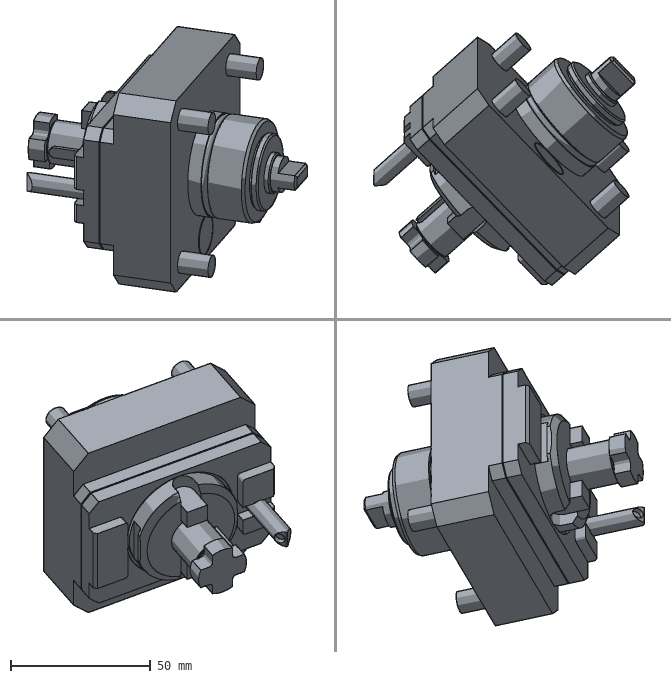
import cadquery as cq


body_width = 75.0
body_front = -21.8
body_chamfer = 6.1
plate_front = -33.1
plate_height = 47.7
plate_chamfer = 3.9
seam_x = -27.2
seam_width = 0.3
seam_depth = 0.2

pad_front = -37.1
pad_height = 25.9
pad_width = 13.7
pad_edge = 1.2
pad_slot_width = 6.0

recess_radius = 22.0
recess_depth = 1.2
flange_front = -41.0
flange_radius = 20.9
flange_nose_radius = 18.1
flange_cone_end = -39.1
outer_flat = 20.0
inner_flat = 19.0
inner_flat_front = -37.9

drive_width = 8.3
slot_floor = 15.8
tooth_front = -45.7
tooth_inner = 8.7
slot_round_center = -36.2

head_front = -64.0
head_back = -57.9
head_radius = 9.9
head_fillet = 1.5
neck_radius = 7.5
neck_end = -57.4
shaft_radius = 8.0
key_front = -56.3
key_length = 14.0
key_width = 3.9
key_top = 9.3

pin_tip = -57.2
pin_radius = 3.4
pin_y = -30.5
pin_z = -2.9
pin_tip_flat = 0.6
outlet_radius = 2.0
outlet_depth = 2.0
outlet_offset = 2.0

stud_radius = 4.0
stud_length = 11.6
stud_y = 26.0
stud_z = 28.0
boss_radius = 7.5
boss_height = 0.3
boss_z = -27.9

barrel_radius = 19.0
barrel_length = 21.6
barrel_chamfer_length = 1.2
barrel_end_radius = 18.4
groove_start = 5.0
groove_end = 7.6
groove_floor = 17.8
ring_x = 6.0
ring_tube = 1.1

collar_start = 22.4
collar_end = 24.9
collar_radius = 14.1
collar_chamfer = 0.6
hub_end = 27.1
hub_radius = 7.5
hub_chamfer = 0.5
tang_shoulder = 29.8
tang_end = 37.0
tang_radius = 6.6
tang_thickness = 5.8
tang_chamfer = 0.8


def box(x0, x1, y0, y1, z0, z1):
    """Box between two opposite corners."""
    return cq.Workplane("XY").box(x1 - x0, y1 - y0, z1 - z0, centered=False).translate((x0, y0, z0))


def rod(x0, x1, radius, y=0, z=0):
    """Cylinder parallel to X."""
    return cq.Workplane("YZ", origin=(x0, y, z)).circle(radius).extrude(x1 - x0)


def turned(profile):
    """Solid of revolution about X from (x, radius) points."""
    points = [(profile[0][0], 0)] + profile + [(profile[-1][0], 0)]
    return cq.Workplane("XY").polyline(points).close().revolve(360, (0, 0, 0), (1, 0, 0))


def mirrored_pair(solid, plane):
    """The solid together with its mirror image through the origin."""
    return solid.union(solid.mirror(plane))


def slab(x0, x1, height, chamfer):
    """Body-wide block with its four X edges chamfered."""
    block = box(x0, x1, -body_width / 2, body_width / 2, -height / 2, height / 2)
    return block.edges("|X").chamfer(chamfer)


def make_housing():
    body = slab(body_front, 0, body_width, body_chamfer)
    plate = slab(plate_front, body_front, plate_height, plate_chamfer)
    seam = slab(seam_x - seam_width / 2, seam_x + seam_width / 2, plate_height, plate_chamfer)
    seam_core = box(
        plate_front, body_front,
        seam_depth - body_width / 2, body_width / 2 - seam_depth,
        seam_depth - plate_height / 2, plate_height / 2 - seam_depth,
    ).edges("|X").chamfer(plate_chamfer)
    recess = rod(plate_front, plate_front + recess_depth, recess_radius)
    return body.union(plate).cut(seam.cut(seam_core)).cut(recess)


def make_pads():
    outer = body_width / 2
    pad = box(pad_front, plate_front, outer - pad_width, outer, -pad_height / 2, pad_height / 2)
    pad = pad.faces("<Y").edges("|X").fillet(pad_edge)
    pad = pad.faces(">Y").edges("<X").chamfer(pad_edge)
    pads = mirrored_pair(pad, "XZ")
    pin_slot = box(
        pad_front, plate_front, -outer, 0,
        pin_z - pad_slot_width / 2, pin_z + pad_slot_width / 2,
    )
    return pads.cut(pin_slot)


def make_flange():
    recess_floor = plate_front + recess_depth
    flange = turned([
        (flange_front, flange_nose_radius),
        (flange_cone_end, flange_radius),
        (recess_floor, flange_radius),
    ])
    for front, flat in ((flange_front, outer_flat), (inner_flat_front, inner_flat)):
        side = box(front, plate_front, flat, recess_radius, -recess_radius, recess_radius)
        flange = flange.cut(mirrored_pair(side, "XZ"))

    slot = box(flange_front, slot_round_center, -drive_width / 2, drive_width / 2, slot_floor, recess_radius)
    slot_end = (
        cq.Workplane("XY", origin=(slot_round_center, 0, slot_floor))
        .circle(drive_width / 2)
        .extrude(recess_radius - slot_floor)
    )
    flange = flange.cut(mirrored_pair(slot.union(slot_end), "XY"))

    tooth = box(tooth_front, flange_front, -drive_width / 2, drive_width / 2, tooth_inner, slot_floor)
    return flange.union(mirrored_pair(tooth, "XY"))


def make_shaft():
    shaft = rod(neck_end, flange_front, shaft_radius)
    neck = rod(head_back, neck_end, neck_radius)
    key = (
        cq.Workplane("XZ", origin=(key_front + key_length / 2, 0, 0))
        .slot2D(key_length, key_width)
        .extrude(key_top)
    )
    arm = box(head_front, head_back, -head_radius, head_radius, -drive_width / 2, drive_width / 2)
    cross = arm.union(arm.rotate((0, 0, 0), (1, 0, 0), 90))
    corner_reach = 0.6 * drive_width
    inner_corners = cq.selectors.BoxSelector(
        (head_front, -corner_reach, -corner_reach), (head_back, corner_reach, corner_reach)
    )
    cross = cross.edges("|X").edges(inner_corners).fillet(head_fillet)
    head = cross.intersect(rod(head_front, head_back, head_radius))
    return shaft.union(neck).union(key).union(head)


def make_coolant_pin():
    pin = rod(pin_tip, plate_front, pin_radius, pin_y, pin_z)
    bevel = pin_radius - pin_tip_flat / 2
    wedge = (
        cq.Workplane("XY", origin=(pin_tip, pin_y, pin_z - pin_radius))
        .polyline([(0, pin_tip_flat / 2), (bevel, pin_radius), (0, pin_radius)])
        .close()
        .extrude(2 * pin_radius)
    )
    for side in (wedge, wedge.mirror("XZ", (0, pin_y, 0))):
        pin = pin.cut(side)
    mouth = cq.Vector(pin_tip + outlet_offset - pin_tip_flat / 2, pin_y + outlet_offset, pin_z)
    outlet = cq.Solid.makeCylinder(outlet_radius, outlet_depth, mouth, cq.Vector(1, -1, 0))
    return pin.cut(cq.Workplane(obj=outlet))


def make_barrel():
    barrel = turned([
        (0, barrel_radius),
        (groove_start, barrel_radius),
        (groove_start, groove_floor),
        (groove_end, groove_floor),
        (groove_end, barrel_radius),
        (barrel_length - barrel_chamfer_length, barrel_radius),
        (barrel_length, barrel_end_radius),
        (barrel_length, collar_radius - collar_chamfer),
        (collar_start, collar_radius - collar_chamfer),
        (collar_start, collar_radius),
        (collar_end - collar_chamfer, collar_radius),
        (collar_end, collar_radius - collar_chamfer),
        (collar_end, hub_radius),
        (hub_end - hub_chamfer, hub_radius),
        (hub_end, hub_radius - hub_chamfer),
        (hub_end, tang_radius),
        (tang_shoulder, tang_radius),
    ])
    ring = (
        cq.Workplane("XY", origin=(ring_x, groove_floor, 0))
        .circle(ring_tube)
        .revolve(360, (0, -groove_floor, 0), (1, -groove_floor, 0))
    )
    flat_sides = box(
        tang_shoulder, tang_end, -tang_radius, tang_radius, -tang_thickness / 2, tang_thickness / 2
    )
    tang = rod(tang_shoulder, tang_end, tang_radius).intersect(flat_sides)
    tang = tang.faces(">X").chamfer(tang_chamfer)
    return barrel.union(ring).union(tang)


def make_rear_fittings():
    fittings = rod(0, boss_height, boss_radius, 0, boss_z)
    for y in (-stud_y, stud_y):
        for z in (-stud_z, stud_z):
            fittings = fittings.union(rod(0, stud_length, stud_radius, y, z))
    return fittings


result = make_housing()
for feature in (
    make_pads(),
    make_flange(),
    make_shaft(),
    make_coolant_pin(),
    make_barrel(),
    make_rear_fittings(),
):
    result = result.union(feature)